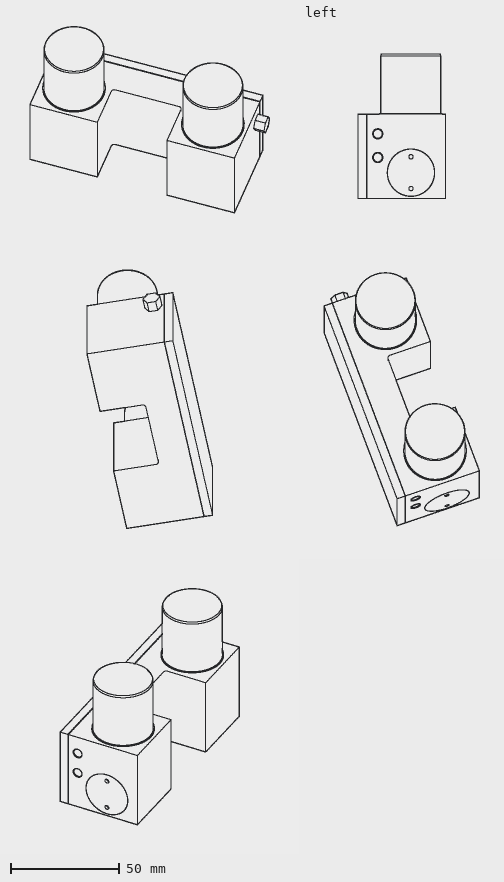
import cadquery as cq
import math

housing_length = 100.1
overall_length = 105.1
total_depth = 40.5
housing_height = 39.0
plate_thickness = 4.0
cheek_width = 33.0
notch_depth = 21.3
notch_radius = 1.5
seam_width = 0.1
seam_depth = 0.3

cap_diameter = 27.9
cap_top_height = 67.0
cap_edge_chamfer = 0.9
cap_edge_inset = 0.3
cap_inset = 16.1
collar_diameter = 29.0
collar_bore_diameter = 28.0
collar_height = 0.3

plug_diameter = 21.8
plug_bore_diameter = 22.0
plug_thickness = 3.2
plug_y = 16.0
plug_height = 12.0
spanner_hole_diameter = 2.0
spanner_hole_depth = 1.6
drill_point_angle = 118.0
spanner_hole_spacing = 14.7

port_diameter = 4.1
port_mouth_diameter = 4.7
port_depth = 8.4
port_from_back = 9.1
lower_port_height = 19.0
upper_port_height = 30.0
hex_corner_diameter = 8.1

plate_front = total_depth - plate_thickness
port_y = total_depth - port_from_back
cap_centers = [(x, cap_inset) for x in (cap_inset, housing_length - cap_inset)]


def cylinder_along_x(diameter, length, y, z):
    """Cylinder running in +X from the plane x = 0."""
    return cq.Workplane("YZ", origin=(0, y, z)).circle(diameter / 2).extrude(length)


def turned_along_x(profile, y, z):
    """Solid turned about an X axis through (y, z); profile points are (distance from x = 0, radius)."""
    return (
        cq.Workplane("XY", origin=(0, y, z))
        .polyline(profile)
        .close()
        .revolve(360, (0, 0, 0), (1, 0, 0))
    )


def make_port_cutter(z):
    """Blind port with a chamfered mouth."""
    radius = port_diameter / 2
    mouth_radius = port_mouth_diameter / 2
    mouth_depth = mouth_radius - radius
    profile = [(0, 0), (0, mouth_radius), (mouth_depth, radius), (port_depth, radius), (port_depth, 0)]
    return turned_along_x(profile, port_y, z)


def make_spanner_hole_cutter(z):
    """Short blind hole ending in a conical drill point."""
    radius = spanner_hole_diameter / 2
    point_length = radius / math.tan(math.radians(drill_point_angle / 2))
    tip = spanner_hole_depth + point_length
    return turned_along_x([(0, 0), (0, radius), (spanner_hole_depth, radius), (tip, 0)], plug_y, z)


def make_seam_groove_cutter():
    """Shallow groove round the rear rim of the housing, next to the plate."""
    rim = cq.Workplane("XY", origin=(0, plate_front - seam_width, 0)).box(
        housing_length, seam_width, housing_height, centered=False
    )
    core = cq.Workplane("XY", origin=(seam_depth, plate_front - seam_width, seam_depth)).box(
        housing_length - 2 * seam_depth, seam_width, housing_height - 2 * seam_depth, centered=False
    )
    return rim.cut(core)


def make_hex_stub():
    """Hexagonal stub on the +X face, in line with the upper port."""
    return (
        cq.Workplane("YZ", origin=(housing_length, port_y, upper_port_height))
        .polygon(6, hex_corner_diameter)
        .extrude(overall_length - housing_length)
    )


def make_housing():
    body = cq.Workplane("XY").box(housing_length, plate_front, housing_height, centered=False)
    notch = (
        cq.Workplane("XY", origin=(cheek_width, 0, 0))
        .box(housing_length - 2 * cheek_width, notch_depth, housing_height, centered=False)
        .edges("|Z and >Y")
        .fillet(notch_radius)
    )
    collars = (
        cq.Workplane("XY", origin=(0, 0, housing_height))
        .pushPoints(cap_centers)
        .circle(collar_diameter / 2)
        .circle(collar_bore_diameter / 2)
        .extrude(collar_height)
    )
    body = body.cut(notch).cut(make_seam_groove_cutter()).union(collars).union(make_hex_stub())
    body = body.cut(cylinder_along_x(plug_bore_diameter, plug_thickness, plug_y, plug_height))
    for z in (lower_port_height, upper_port_height):
        body = body.cut(make_port_cutter(z))
    return body


def make_plate():
    return cq.Workplane("XY", origin=(0, plate_front, 0)).box(
        housing_length, plate_thickness, housing_height, centered=False
    )


def make_cap(x, y):
    return (
        cq.Workplane("XY", origin=(x, y, housing_height))
        .circle(cap_diameter / 2)
        .extrude(cap_top_height - housing_height)
        .faces(">Z")
        .chamfer(cap_edge_chamfer, cap_edge_inset)
    )


def make_plug():
    plug = cylinder_along_x(plug_diameter, plug_thickness, plug_y, plug_height)
    for side in (-1, 1):
        z = plug_height + side * spanner_hole_spacing / 2
        plug = plug.cut(make_spanner_hole_cutter(z))
    return plug


housing = make_housing()
plate = make_plate()
caps = [make_cap(x, y) for x, y in cap_centers]
plug = make_plug()

result = cq.Compound.makeCompound(
    [housing.val(), plate.val(), *[cap.val() for cap in caps], plug.val()]
)